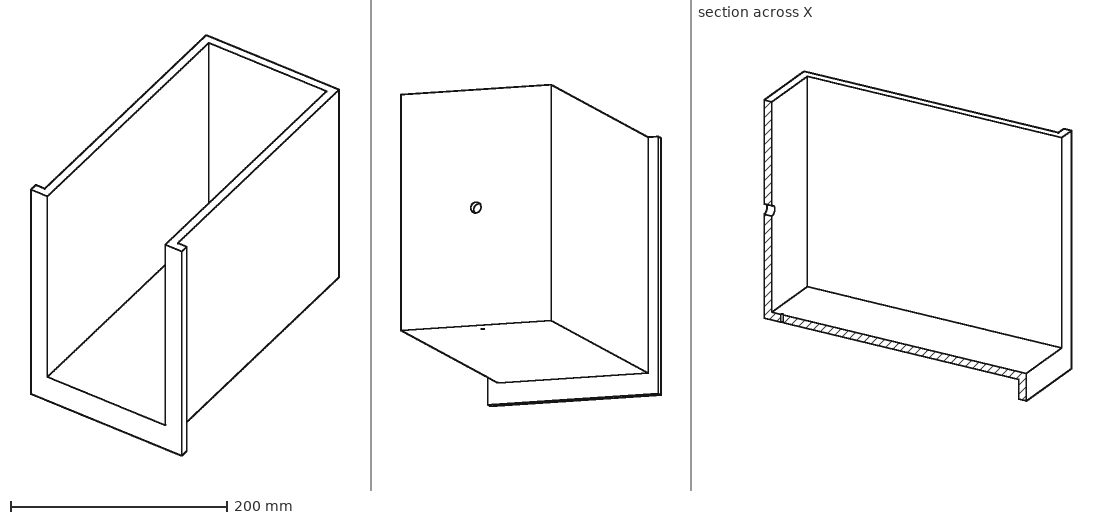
import cadquery as cq

total_length = 280.0
flange_width = 167.0
flange_height = 242.0

wall = 8.5
flange_thickness = 8.5
inner_width = 130.2
flange_drop = 20.0
box_width = inner_width + 2 * wall
box_height = flange_height - flange_drop

back_hole_diameter = 10.0
floor_hole_diameter = 2.5
floor_hole_from_back = 19.0


def block(width, length, height, front, bottom):
    """Block centred on X, placed by its front face and its underside."""
    return (
        cq.Workplane("XY")
        .box(width, length, height, centered=(True, False, False))
        .translate((0, front, bottom))
    )


box = block(box_width, total_length, box_height, 0, 0)
flange = block(flange_width, flange_thickness, flange_height, 0, -flange_drop)
cavity = block(inner_width, total_length - wall, box_height - wall, 0, wall)
tray = box.union(flange).cut(cavity)

back_hole = (
    cq.Workplane("XZ", origin=(0, total_length, box_height / 2))
    .circle(back_hole_diameter / 2)
    .extrude(wall)
)

floor_hole = (
    cq.Workplane("XY", origin=(0, total_length - floor_hole_from_back, 0))
    .circle(floor_hole_diameter / 2)
    .extrude(wall)
)

result = tray.cut(back_hole).cut(floor_hole)